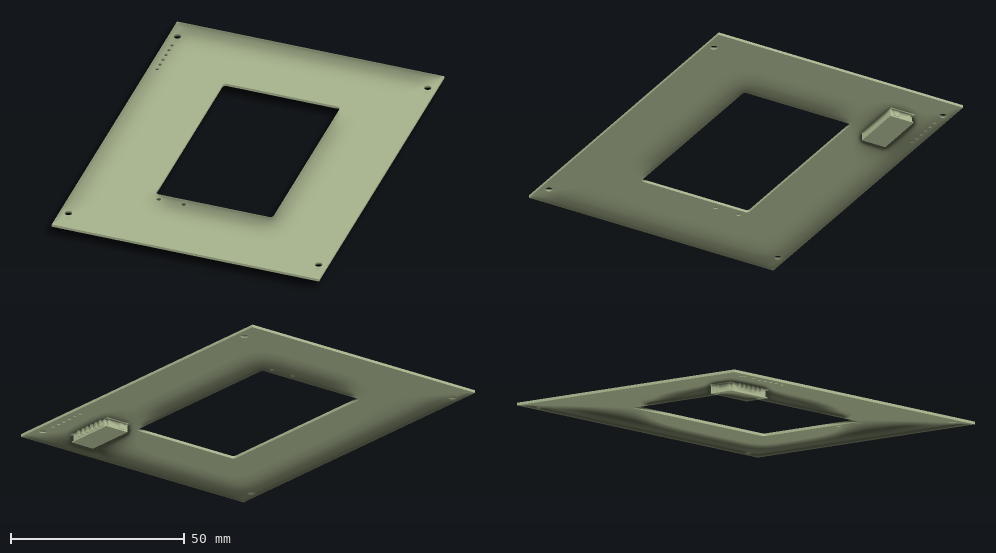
import cadquery as cq

BOARD_WIDTH = 82.0
BOARD_LENGTH = 108.0
OVERALL_HEIGHT = 3.5
BOARD_THICKNESS = 0.8

WINDOW_WIDTH = 36.0
WINDOW_LENGTH = 58.8
WINDOW_CORNER_RADIUS = 1.1

MOUNTING_DIAMETER = 2.2
MOUNTING_SPACING_X = 76.8
MOUNTING_SPACING_Y = 94.0

HEADER_DIAMETER = 1.0
HEADER_COUNT = 6
HEADER_SPAN = 12.7
HEADER_PITCH = HEADER_SPAN / (HEADER_COUNT - 1)
HEADER_FIRST_Y = 42.2

PAIR_DIAMETER = 1.3
PAIR_SPACING = 7.7
PAIR_CENTER_X = -12.3
PAIR_Y = -31.6

HOUSING_DEPTH = 7.8
HOUSING_LENGTH = 16.2
HOUSING_HEIGHT = OVERALL_HEIGHT - BOARD_THICKNESS
HOUSING_BACK_X = -30.8
HOUSING_CENTER_Y = 35.1

NOTCH_DEPTH = 0.9
NOTCH_WIDTH = 0.9
NOTCH_HEIGHT = 2.4

RECESS_DEPTH = 0.2
RECESS_FRONT_WALL = 0.3

TAB_OVERHANG = 0.4
TAB_THICKNESS = 0.3
LEG_BACK_X = -26.0
LEG_WIDTH = 1.7
LEG_HEIGHT = 2.0

CONTACT_COUNT = 6
CONTACT_CENTER_Y = 34.8
CONTACT_SPAN = 10.0
CONTACT_PITCH = CONTACT_SPAN / (CONTACT_COUNT - 1)
CONTACT_WIDTH = 0.9
CONTACT_HEIGHT = 1.9
CONTACT_STEM_DEPTH = 0.2
FOOT_OVERHANG = 0.4
FOOT_THICKNESS = 0.9

RELIEF_DEPTH = 0.4
RELIEF_HEIGHT = 0.4


def drill(board, points, diameter):
    """Drill through holes at points on the top of the board."""
    return board.faces(">Z").workplane(origin=(0, 0, 0)).pushPoints(points).hole(diameter)


def hanging_box(x_min, depth, y_center, width, height):
    """Box that hangs from the board's underside, starting at x_min."""
    return (
        cq.Workplane("XY")
        .box(depth, width, height, centered=(False, True, False))
        .translate((x_min, y_center, -height))
    )


def make_board():
    board = cq.Workplane("XY").box(
        BOARD_WIDTH, BOARD_LENGTH, BOARD_THICKNESS, centered=(True, True, False)
    )
    window = (
        cq.Workplane("XY")
        .rect(WINDOW_WIDTH, WINDOW_LENGTH)
        .extrude(BOARD_THICKNESS)
        .edges("|Z")
        .fillet(WINDOW_CORNER_RADIUS)
    )
    board = board.cut(window)

    mounting_points = [
        (side * MOUNTING_SPACING_X / 2, end * MOUNTING_SPACING_Y / 2)
        for side in (-1, 1)
        for end in (-1, 1)
    ]
    header_points = [
        (-MOUNTING_SPACING_X / 2, HEADER_FIRST_Y - i * HEADER_PITCH) for i in range(HEADER_COUNT)
    ]
    pair_points = [(PAIR_CENTER_X + side * PAIR_SPACING / 2, PAIR_Y) for side in (-1, 1)]

    board = drill(board, mounting_points, MOUNTING_DIAMETER)
    board = drill(board, header_points, HEADER_DIAMETER)
    return drill(board, pair_points, PAIR_DIAMETER)


def make_contact(y):
    """Contact stem on the back of the housing with its foot against the board."""
    foot_reach = FOOT_OVERHANG + RELIEF_DEPTH
    stem_reach = CONTACT_STEM_DEPTH + RELIEF_DEPTH
    foot = hanging_box(HOUSING_BACK_X - FOOT_OVERHANG, foot_reach, y, CONTACT_WIDTH, FOOT_THICKNESS)
    stem = hanging_box(
        HOUSING_BACK_X - CONTACT_STEM_DEPTH, stem_reach, y, CONTACT_WIDTH, CONTACT_HEIGHT
    )
    return foot.union(stem)


def make_connector():
    connector = hanging_box(
        HOUSING_BACK_X, HOUSING_DEPTH, HOUSING_CENTER_Y, HOUSING_LENGTH, HOUSING_HEIGHT
    )

    relief_length = CONTACT_COUNT * CONTACT_PITCH
    connector = connector.cut(
        hanging_box(HOUSING_BACK_X, RELIEF_DEPTH, CONTACT_CENTER_Y, relief_length, RELIEF_HEIGHT)
    )

    tab_width = NOTCH_WIDTH + TAB_OVERHANG
    recess_length = HOUSING_DEPTH - RECESS_FRONT_WALL
    for end in (-1, 1):
        notch_y = HOUSING_CENTER_Y + end * (HOUSING_LENGTH - NOTCH_WIDTH) / 2
        connector = connector.cut(
            hanging_box(HOUSING_BACK_X, NOTCH_DEPTH, notch_y, NOTCH_WIDTH, NOTCH_HEIGHT)
        )
        recess_y = HOUSING_CENTER_Y + end * (HOUSING_LENGTH - RECESS_DEPTH) / 2
        connector = connector.cut(
            hanging_box(HOUSING_BACK_X, recess_length, recess_y, RECESS_DEPTH, NOTCH_HEIGHT)
        )
        connector = connector.union(
            hanging_box(LEG_BACK_X, LEG_WIDTH, recess_y, RECESS_DEPTH, LEG_HEIGHT)
        )
        tab_y = HOUSING_CENTER_Y + end * (HOUSING_LENGTH / 2 + TAB_OVERHANG - tab_width / 2)
        connector = connector.union(
            hanging_box(HOUSING_BACK_X, HOUSING_DEPTH, tab_y, tab_width, TAB_THICKNESS)
        )

    first_contact_y = CONTACT_CENTER_Y - CONTACT_SPAN / 2
    for i in range(CONTACT_COUNT):
        connector = connector.union(make_contact(first_contact_y + i * CONTACT_PITCH))
    return connector


board = make_board()
connector = make_connector()
result = cq.Compound.makeCompound([board.val(), connector.val()])